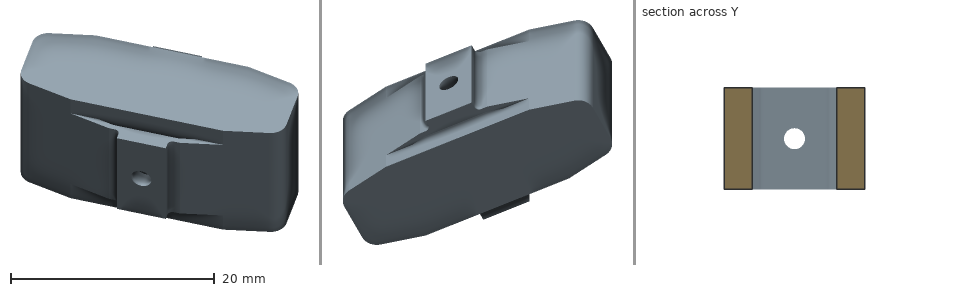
import cadquery as cq

length = 27.05
height = 14.0
block_width = 9.03
end_width = 6.57
flat_length = 15.58
corner_radius = 1.6

band_height = 10.0
band_thickness = 0.55
gap_flat_length = 6.65
band_flat_offset = 5.4

pad_length = 5.0
overall_width = 13.0
pad_offset = overall_width / 2
pad_root_radius = 0.51
hole_diameter = 2.05

taper_slope = (block_width - end_width) / (length - flat_length)
band_rise = band_flat_offset - block_width / 2
band_flat_half = flat_length / 2 - band_rise / taper_slope

gap_depth = band_rise - band_thickness
gap_half_top = gap_flat_length / 2
gap_half_base = gap_half_top + gap_depth / taper_slope


def prism(points, prism_height):
    """Extrude a plan outline symmetrically about the XY plane."""
    return cq.Workplane("XY").polyline(points).close().extrude(prism_height / 2, both=True)


def trapezoid(half_base, half_top, depth):
    """Plan outline standing on the positive Y flat of the block."""
    base_y = block_width / 2
    top_y = base_y + depth
    return [(-half_base, base_y), (half_base, base_y), (half_top, top_y), (-half_top, top_y)]


def make_block():
    flat_half = flat_length / 2
    side = [
        (length / 2, end_width / 2),
        (flat_half, block_width / 2),
        (-flat_half, block_width / 2),
        (-length / 2, end_width / 2),
    ]
    opposite_side = [(-x, -y) for x, y in side]
    block = prism(side + opposite_side, height)
    return block.edges("|Z and (<X or >X)").fillet(corner_radius)


def make_band():
    """Band, pad, gap and hole on the positive Y side."""
    band = prism(trapezoid(flat_length / 2, band_flat_half, band_rise), band_height)
    pad_depth = pad_offset - band_flat_offset
    pad_base = cq.Workplane("XZ", origin=(0, band_flat_offset, 0))
    pad = pad_base.rect(pad_length, band_height).extrude(-pad_depth)
    root_limit = (pad_length / 2 + band_flat_half) / 2
    pad_root = cq.selectors.BoxSelector(
        (-root_limit, band_flat_offset - pad_root_radius / 2, -band_height),
        (root_limit, band_flat_offset + pad_root_radius / 2, band_height),
    )
    band = band.union(pad).edges("|Z").edges(pad_root).fillet(pad_root_radius)
    gap = prism(trapezoid(gap_half_base, gap_half_top, gap_depth), band_height)
    hole_start = cq.Workplane("XZ", origin=(0, block_width / 2, 0))
    hole = hole_start.circle(hole_diameter / 2).extrude(block_width / 2 - pad_offset)
    return band.cut(gap).cut(hole)


band = make_band()
result = make_block().union(band).union(band.mirror("XZ"))